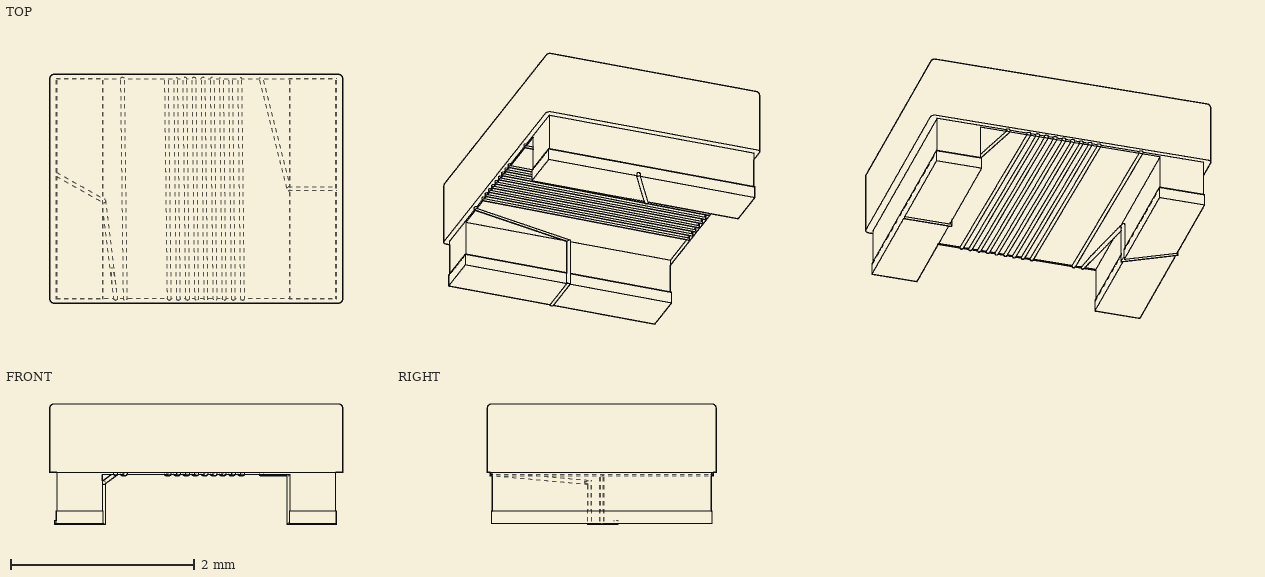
import cadquery as cq


CAP_LENGTH = 3.2
CAP_WIDTH = 2.5
CAP_HEIGHT = 0.75
CAP_FILLET = 0.05
TOTAL_HEIGHT = 1.32
CAP_BOTTOM = TOTAL_HEIGHT - CAP_HEIGHT

CORE_LENGTH = 3.04
CORE_WIDTH = 2.39
LEG_LENGTH = 0.495
BAR_DROP = 0.022
BAR_BOTTOM = CAP_BOTTOM - BAR_DROP

PLATING = 0.01
FOOT_BOTTOM = 0.012
FOOT_TOP = 0.148
FOOT_LENGTH = LEG_LENGTH + 2 * PLATING
FOOT_WIDTH = CORE_WIDTH + 2 * PLATING
LEG_CENTRE = (CORE_LENGTH - LEG_LENGTH) / 2
FOOT_OUTER = LEG_CENTRE + FOOT_LENGTH / 2
FOOT_INNER = LEG_CENTRE - FOOT_LENGTH / 2

WIRE_RADIUS = 0.022
COIL_Y = CORE_WIDTH / 2
COIL_SINK = 0.008
COIL_Z = BAR_BOTTOM + COIL_SINK
COIL_END_DEPTH = 0.1
COIL_TOP = CAP_BOTTOM + COIL_END_DEPTH
TURN_LEAN = 0.03
TURN_PITCH = 0.1
TURN_COUNT = 9
FIRST_TURN_X = -0.295
LONE_TURN_X = -0.775

LEFT_LEAD_START_X = -0.88
RIGHT_LEAD_START_X = 0.71
LEAD_OFFSET = 0.005
LEAD_DOWN_X = FOOT_INNER - LEAD_OFFSET
LEFT_LEAD_BEND_Z = 0.46
LEFT_LEAD_INNER_Y = -0.133
LEFT_LEAD_OUTER_Y = 0.155
LEFT_TIP_X = -FOOT_OUTER + LEAD_OFFSET
LEFT_TIP_Z = 0.045
RIGHT_LEAD_Y = 0.0
RIGHT_LEAD_END_X = FOOT_OUTER


def block(length, width, bottom, top, centre_x=0):
    """Box centred on Y between two heights."""
    box = cq.Workplane("XY").box(length, width, top - bottom, centered=(True, True, False))
    return box.translate((centre_x, 0, bottom))


def wire_along(points):
    """Round wire along straight runs between the points, with mitred corners."""
    path = cq.Workplane("XY").polyline(points)
    first_run = cq.Vector(*points[1]) - cq.Vector(*points[0])
    section = cq.Workplane(cq.Plane(origin=points[0], normal=first_run)).circle(WIRE_RADIUS)
    return section.sweep(path, transition="right")


def make_cap():
    cap = block(CAP_LENGTH, CAP_WIDTH, CAP_BOTTOM, TOTAL_HEIGHT)
    return cap.edges("|Z or >Z").fillet(CAP_FILLET)


def make_core():
    core = block(CORE_LENGTH, CORE_WIDTH, BAR_BOTTOM, CAP_BOTTOM)
    for side in (-1, 1):
        centre_x = side * LEG_CENTRE
        core = core.union(block(LEG_LENGTH, CORE_WIDTH, FOOT_TOP, CAP_BOTTOM, centre_x))
        core = core.union(block(FOOT_LENGTH, FOOT_WIDTH, FOOT_BOTTOM, FOOT_TOP, centre_x))
    return core


def make_turn(front_x):
    """One turn under the bar; both ends rise into the cap."""
    back_x = front_x - TURN_LEAN
    return wire_along([
        (front_x, -COIL_Y, COIL_TOP),
        (front_x, -COIL_Y, COIL_Z),
        (back_x, COIL_Y, COIL_Z),
        (back_x, COIL_Y, COIL_TOP),
    ])


def make_left_lead():
    """Leaves the front of the coil, slopes to the left leg and curls around its foot."""
    return wire_along([
        (LEFT_LEAD_START_X, -COIL_Y, COIL_TOP),
        (LEFT_LEAD_START_X, -COIL_Y, COIL_Z),
        (-LEAD_DOWN_X, LEFT_LEAD_INNER_Y, LEFT_LEAD_BEND_Z),
        (-LEAD_DOWN_X, LEFT_LEAD_INNER_Y, WIRE_RADIUS),
        (LEFT_TIP_X, LEFT_LEAD_OUTER_Y, WIRE_RADIUS),
        (LEFT_TIP_X, LEFT_LEAD_OUTER_Y, LEFT_TIP_Z),
    ])


def make_right_lead():
    """Leaves the back of the coil, crosses under the bar and runs down the right leg."""
    return wire_along([
        (RIGHT_LEAD_START_X, COIL_Y, COIL_TOP),
        (RIGHT_LEAD_START_X, COIL_Y, COIL_Z),
        (LEAD_DOWN_X, RIGHT_LEAD_Y, COIL_Z),
        (LEAD_DOWN_X, RIGHT_LEAD_Y, WIRE_RADIUS),
        (RIGHT_LEAD_END_X, RIGHT_LEAD_Y, WIRE_RADIUS),
    ])


result = make_cap().union(make_core())
result = result.union(make_turn(LONE_TURN_X))
for turn in range(TURN_COUNT):
    result = result.union(make_turn(FIRST_TURN_X + turn * TURN_PITCH))
result = result.union(make_left_lead()).union(make_right_lead())